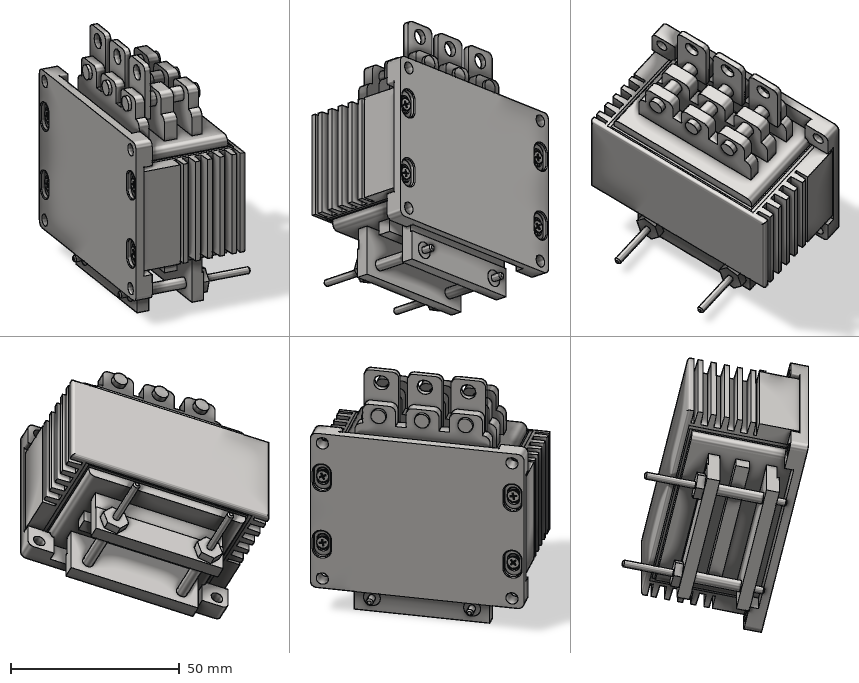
import cadquery as cq


plate_width = 65.0
plate_height = 50.95
slab_thickness = 2.65
pad_top = 5.4
pad_inner_x = 24.0
pad_inner_z = 17.4
pad_inner_radius = 0.5
plate_corner_radius = 1.95
mount_hole_diameter = 3.65
mount_hole_x = 28.85
mount_hole_z = 22.3

screw_x = 29.0
screw_z = 11.0
screw_head_diameter = 3.7
screw_head_height = 0.5
shank_diameter = 2.95
shank_length = 7.8
head_slot_width = 5.2
head_slot_height = 8.55
head_slot_depth = 1.4
shank_slot_width = 3.0
shank_slot_height = 5.1
slot_chamfer = 0.3
cross_span = 2.0
cross_arm_width = 0.3
cross_depth = 0.3
cross_angles = {(-1, 1): 25, (-1, -1): 10, (1, 1): 10, (1, -1): 45}

sink_half_width = 32.05
sink_half_height = 15.95
sink_back = 36.55
sink_back_radius = 0.9
fin_root_x = 27.9
fin_slab_front = 34.6
solid_side_back = 14.85
fin_count = 5
first_fin_y = 16.65
last_fin_y = 32.7
fin_root_thickness = 2.0
fin_tip_thickness = 1.55

outer_lining_half_width = 26.9
outer_lining_back = 35.0
inner_lining_half_width = 25.9
inner_lining_back = 34.5

block_half_width = 25.4
block_back = 33.75
block_half_height = 19.1
block_radius = 2.1

back_blade = (24.3, 27.7)
middle_blade = (15.25, 19.45)
front_blade = (6.9, 10.1)
blade_half_width = 20.6
blade_bottom = -34.45
middle_blade_bottom = -23.25
shoulder_top = 26.9
tab_pitch = 13.2
tab_width = 10.0
tab_top = 33.4
tab_radius = 2.0

foot_top = -plate_height / 2
front_foot_face = 6.2
back_foot_face = 28.15

post_diameter = 4.5
post_z = 30.1
post_front = 5.9
post_back = 29.5
lug_width = 10.6
lug_front = 9.8
lug_back = 11.6
lug_bottom = 26.2
lug_top = 43.3
lug_radius = 1.95
lug_hole_diameter = 4.6
lug_hole_z = 39.4

rod_x = 15.25
rod_z = -30.1
rod_diameter = 2.1
rod_front = 2.8
rod_back = 45.9
rod_chamfer = 0.5
spacer_diameter = 3.4
nut_corner_diameter = 8.3
nut_thickness = 2.5
nut_angle = 11
spotface_diameter = 5.1
spotface_depth = 0.1

sides = (-1, 1)
tab_centres = [-tab_pitch, 0, tab_pitch]


def box(x_range, y_range, z_range):
    """Box between the given limits."""
    return cq.Workplane("XY").box(
        x_range[1] - x_range[0], y_range[1] - y_range[0], z_range[1] - z_range[0], centered=False
    ).translate((x_range[0], y_range[0], z_range[0]))


def at_depth(y):
    """Sketch plane at depth y; its axes are X and Z, and a negative extrusion goes toward +Y."""
    return cq.Workplane("XZ", origin=(0, y, 0))


def cylinder(x, z, diameter, front, back):
    """Cylinder along Y from front to back."""
    return at_depth(front).center(x, z).circle(diameter / 2).extrude(front - back)


def upright_slot(x, z, width, height, front, back):
    """Vertical slot-shaped prism along Y."""
    return at_depth(front).center(x, z).slot2D(height, width, 90).extrude(front - back)


def pad(side, level):
    """Raised corner pad; the pads of the upper level have rounded inner corners."""
    x_range = sorted((side * pad_inner_x, side * plate_width / 2))
    z_range = sorted((level * pad_inner_z, level * plate_height / 2))
    body = box(x_range, (slab_thickness, pad_top), z_range)
    outer_corner = cq.selectors.NearestToPointSelector(
        (side * plate_width / 2, (slab_thickness + pad_top) / 2, level * plate_height / 2)
    )
    if level > 0:
        along_y = cq.selectors.ParallelDirSelector(cq.Vector(0, 1, 0))
        body = body.edges(along_y - outer_corner).fillet(pad_inner_radius)
    return body.edges(outer_corner).fillet(plate_corner_radius)


def cut_screw_slot(plate, x, z):
    """Cut a stepped slot with both of its mouths chamfered."""
    steps = (
        (head_slot_width, head_slot_height, 0, head_slot_depth),
        (shank_slot_width, shank_slot_height, head_slot_depth, slab_thickness),
    )
    for width, height, front, back in steps:
        plate = plate.cut(upright_slot(x, z, width, height, front, back))
        mouth = cq.selectors.BoxSelector(
            (x - width / 2 - slot_chamfer, front - slot_chamfer, z - height / 2 - slot_chamfer),
            (x + width / 2 + slot_chamfer, front + slot_chamfer, z + height / 2 + slot_chamfer),
        )
        plate = plate.edges(mouth).chamfer(slot_chamfer)
    return plate


def make_plate():
    plate = at_depth(0).rect(plate_width, plate_height).extrude(-slab_thickness)
    plate = plate.edges("|Y").fillet(plate_corner_radius)
    for side in sides:
        for level in sides:
            plate = plate.union(pad(side, level))
            x, z = side * mount_hole_x, level * mount_hole_z
            plate = plate.cut(cylinder(x, z, mount_hole_diameter, 0, pad_top))
            plate = cut_screw_slot(plate, side * screw_x, level * screw_z)
    return plate


def screw_shank(x, z):
    """Screw shank, which also serves as the tool for its hole in the heatsink."""
    return cylinder(x, z, shank_diameter, head_slot_depth, head_slot_depth + shank_length)


def make_screw(x, z, cross_angle):
    head_front = head_slot_depth - screw_head_height
    screw = cylinder(x, z, screw_head_diameter, head_front, head_slot_depth)
    screw = screw.union(screw_shank(x, z))
    for angle in (cross_angle, cross_angle + 90):
        arm = at_depth(head_front).center(x, z).transformed(rotate=(0, 0, angle))
        screw = screw.cut(arm.rect(cross_span, cross_arm_width).extrude(-cross_depth))
    return screw


def channel_filling(half_width, back):
    """Box as tall as the heatsink, from the plate's slab to the given depth."""
    return box((-half_width, half_width), (slab_thickness, back), (-sink_half_height, sink_half_height))


def fin(side, y):
    """One fin, tapering from root to tip."""
    root, tip = fin_root_thickness / 2, fin_tip_thickness / 2
    root_x, tip_x = side * fin_root_x, side * sink_half_width
    inner_x = side * outer_lining_half_width
    points = [(inner_x, y - root), (root_x, y - root), (tip_x, y - tip)]
    points += [(tip_x, y + tip), (root_x, y + root), (inner_x, y + root)]
    return (
        cq.Workplane("XY", origin=(0, 0, -sink_half_height)).polyline(points).close()
        .extrude(2 * sink_half_height)
    )


def make_heatsink():
    sink = channel_filling(sink_half_width, sink_back)
    sink = sink.faces(">Y").edges().fillet(sink_back_radius)
    fin_pitch = (last_fin_y - first_fin_y) / (fin_count - 1)
    for side in sides:
        x_range = sorted((side * fin_root_x, side * sink_half_width))
        z_range = (-sink_half_height, sink_half_height)
        sink = sink.cut(box(x_range, (solid_side_back, fin_slab_front), z_range))
        for n in range(fin_count):
            sink = sink.union(fin(side, first_fin_y + n * fin_pitch))
        for level in sides:
            sink = sink.cut(screw_shank(side * screw_x, level * screw_z))
    return sink.cut(channel_filling(outer_lining_half_width, outer_lining_back))


def blade(y_range, bottom):
    """Terminal blade with rounded shoulders and three rounded tabs."""
    front, back = y_range
    body = box((-blade_half_width, blade_half_width), y_range, (bottom, shoulder_top))
    shoulder_radius = blade_half_width - tab_pitch - tab_width / 2
    body = body.edges("|Y and >Z").fillet(shoulder_radius)
    for x in tab_centres:
        tab = box((x - tab_width / 2, x + tab_width / 2), (front, back), (0, tab_top))
        body = body.union(tab.edges("|Y and >Z").fillet(tab_radius))
    return body


def foot(front, back):
    """Full-width plate at the lower end of a blade, thicker than the blade itself."""
    return box((-blade_half_width, blade_half_width), (front, back), (blade_bottom, foot_top))


def lug(x):
    """Connection lug with rounded top corners and a hole."""
    body = box((x - lug_width / 2, x + lug_width / 2), (lug_front, lug_back), (lug_bottom, lug_top))
    body = body.edges("|Y and >Z").fillet(lug_radius)
    return body.cut(cylinder(x, lug_hole_z, lug_hole_diameter, lug_front, lug_back))


def tie_rod(x):
    """Rod with a spacer between the blades and a hexagonal nut behind them."""
    rod = cylinder(x, rod_z, rod_diameter, rod_front, rod_back).faces("<Y or >Y").chamfer(rod_chamfer)
    rod = rod.union(cylinder(x, rod_z, spacer_diameter, front_blade[1], back_blade[0]))
    nut = (
        at_depth(back_foot_face).center(x, rod_z).transformed(rotate=(0, 0, nut_angle))
        .polygon(6, nut_corner_diameter).extrude(-nut_thickness)
    )
    return rod.union(nut)


def make_core(plate):
    """Core block with its blades, posts, lugs and tie rods, notched where it meets the plate's pads."""
    core = box(
        (-block_half_width, block_half_width),
        (slab_thickness, block_back),
        (-block_half_height, block_half_height),
    )
    core = core.edges("|Y").fillet(block_radius).cut(plate)
    core = core.union(blade(front_blade, blade_bottom)).union(blade(back_blade, blade_bottom))
    core = core.union(blade(middle_blade, middle_blade_bottom))
    core = core.union(foot(front_foot_face, front_blade[1])).union(foot(back_blade[0], back_foot_face))
    for x in tab_centres:
        core = core.union(lug(x))
        core = core.union(cylinder(x, post_z, post_diameter, post_front, post_back))
    for side in sides:
        x = side * rod_x
        spotface_floor = front_foot_face + spotface_depth
        core = core.cut(cylinder(x, rod_z, spotface_diameter, front_foot_face, spotface_floor))
        core = core.union(tie_rod(x))
    return core


plate = make_plate()
heatsink = make_heatsink()
core = make_core(plate)
inner_lining = channel_filling(inner_lining_half_width, inner_lining_back).cut(
    channel_filling(block_half_width, block_back)
)
outer_lining = channel_filling(outer_lining_half_width, outer_lining_back).cut(
    channel_filling(inner_lining_half_width, inner_lining_back)
)
screws = [
    make_screw(side * screw_x, level * screw_z, angle) for (side, level), angle in cross_angles.items()
]

bodies = [plate, heatsink, outer_lining, inner_lining, core, *screws]
result = cq.Compound.makeCompound([body.val() for body in bodies])